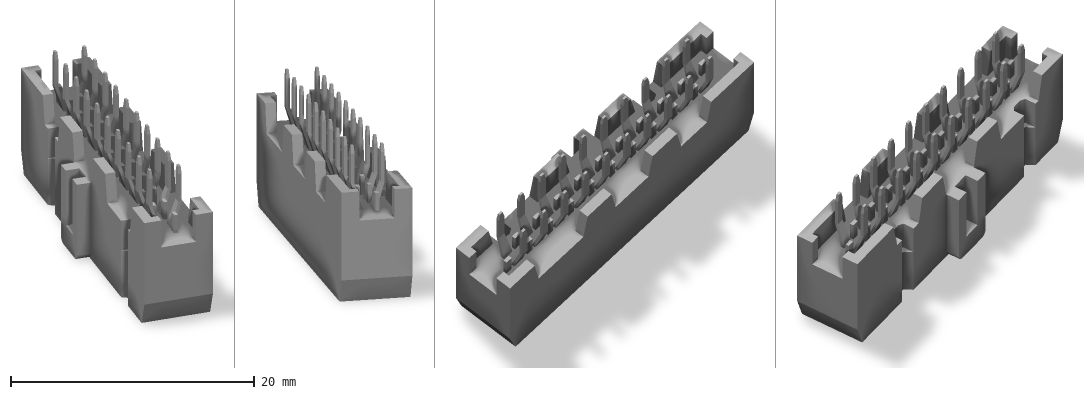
import cadquery as cq
import math

body_length = 29.97
body_depth = 6.0
body_height = 9.53
deck_height = 7.05
end_slope_run = 0.7
end_slope_height = 2.0

side_wall = 0.9
end_wall = 0.87
end_opening = 3.0

wall_gaps = [(-9.2, -6.02), (-2.0, 2.0), (5.95, 11.45)]
gap_flare = 0.5

key_width = 3.9
key_depth = 1.2
key_corner_radius = 0.55
key_slot_width = 1.62
key_slot_bottom = 1.98

pin_count = 10
pitch = 2.54
pin_height = 12.5
pin_width = 0.65
pin_thickness = 0.3
pin_tip_width = 0.35
pin_tip_thickness = 0.2
pin_taper_start = 11.8
bend_height = 9.25
leg_base_width = 1.02
leg_base_offset = 0.55
row_offset = pitch / 2

post_width = 0.63
post_thickness = 0.33
post_height = 8.65
post_shift = 1.1

groove_centers = [-3 * pitch, 4 * pitch]
groove_width = 1.68
groove_floor_width = 0.8
groove_ledge_height = 4.32
groove_lower_depth = 0.72
groove_upper_depth = 1.25
groove_upper_side = 1.02

half_length = body_length / 2
front_face = -body_depth / 2


def block(x_size, y_size, z_bottom, z_top, x=0.0, y=0.0):
    """Upright box centred on (x, y) between two heights."""
    box = cq.Workplane("XY").box(x_size, y_size, z_top - z_bottom, centered=(True, True, False))
    return box.translate((x, y, z_bottom))


def extrude_along_y(points, depth):
    """Prism with an XZ outline, centred on Y."""
    return cq.Workplane("XZ").polyline(points).close().extrude(depth / 2, both=True)


def extrude_along_x(points, width):
    """Prism with a YZ outline, centred on X."""
    return cq.Workplane("YZ").polyline(points).close().extrude(width / 2, both=True)


def make_housing():
    outline = [
        (-half_length + end_slope_run, 0),
        (half_length - end_slope_run, 0),
        (half_length, end_slope_height),
        (half_length, body_height),
        (-half_length, body_height),
        (-half_length, end_slope_height),
    ]
    housing = extrude_along_y(outline, body_depth)
    recess_length = body_length - 2 * end_wall
    recess_depth = body_depth - 2 * side_wall
    housing = housing.cut(block(recess_length, recess_depth, deck_height, body_height))
    housing = housing.cut(block(body_length, end_opening, deck_height, body_height))
    for left, right in wall_gaps:
        gap = [
            (left, deck_height),
            (right, deck_height),
            (right + gap_flare, body_height),
            (left - gap_flare, body_height),
        ]
        housing = housing.cut(extrude_along_y(gap, body_depth))
    return housing


def make_key():
    y = front_face - key_depth / 2
    key = block(key_width, key_depth, 0, deck_height, y=y)
    key = key.edges("|Y and <Z").fillet(key_corner_radius)
    return key.cut(block(key_slot_width, key_depth, key_slot_bottom, deck_height, y=y))


def make_groove(x):
    half_width = groove_width / 2
    half_floor = groove_floor_width / 2
    lower_floor = front_face + groove_lower_depth
    upper_side = front_face + groove_upper_side
    upper_floor = front_face + groove_upper_depth
    lower_outline = [
        (-half_width, front_face),
        (-half_floor, lower_floor),
        (half_floor, lower_floor),
        (half_width, front_face),
    ]
    upper_outline = [
        (-half_width, front_face),
        (-half_width, upper_side),
        (-half_floor, upper_floor),
        (half_floor, upper_floor),
        (half_width, upper_side),
        (half_width, front_face),
    ]
    lower = cq.Workplane("XY").polyline(lower_outline).close().extrude(groove_ledge_height)
    upper = cq.Workplane("XY").polyline(upper_outline).close().extrude(deck_height - groove_ledge_height)
    return lower.union(upper.translate((0, 0, groove_ledge_height))).translate((x, 0, 0))


def make_pin():
    """Back-row contact at X = 0: a leg leaning outward, then a straight tapered tail."""
    lean = math.atan2(row_offset - leg_base_offset, bend_height - deck_height)
    leg_thickness = pin_thickness / math.cos(lean)
    side_line = [
        (leg_base_offset, deck_height, leg_thickness),
        (row_offset, bend_height, pin_thickness),
        (row_offset, pin_taper_start, pin_thickness),
        (row_offset, pin_height, pin_tip_thickness),
    ]
    inner_side = [(y - thickness / 2, z) for y, z, thickness in side_line]
    outer_side = [(y + thickness / 2, z) for y, z, thickness in side_line]
    side_shape = extrude_along_x(inner_side + outer_side[::-1], leg_base_width)

    half_widths = [
        (leg_base_width / 2, deck_height),
        (pin_width / 2, bend_height),
        (pin_width / 2, pin_taper_start),
        (pin_tip_width / 2, pin_height),
    ]
    left_edge = [(-x, z) for x, z in half_widths]
    front_shape = extrude_along_y(half_widths + left_edge[::-1], body_depth)
    return side_shape.intersect(front_shape)


def make_contact():
    """Back-row contact together with its post."""
    post = block(post_width, post_thickness, deck_height, post_height, x=post_shift, y=leg_base_offset)
    return make_pin().union(post)


result = make_housing().union(make_key())
for groove_x in groove_centers:
    result = result.cut(make_groove(groove_x))

back_contact = make_contact()
front_contact = back_contact.rotate((0, 0, 0), (0, 0, 1), 180)
for index in range(pin_count):
    contact_x = (index - (pin_count - 1) / 2) * pitch
    result = result.union(back_contact.translate((contact_x, 0, 0)))
    result = result.union(front_contact.translate((contact_x, 0, 0)))